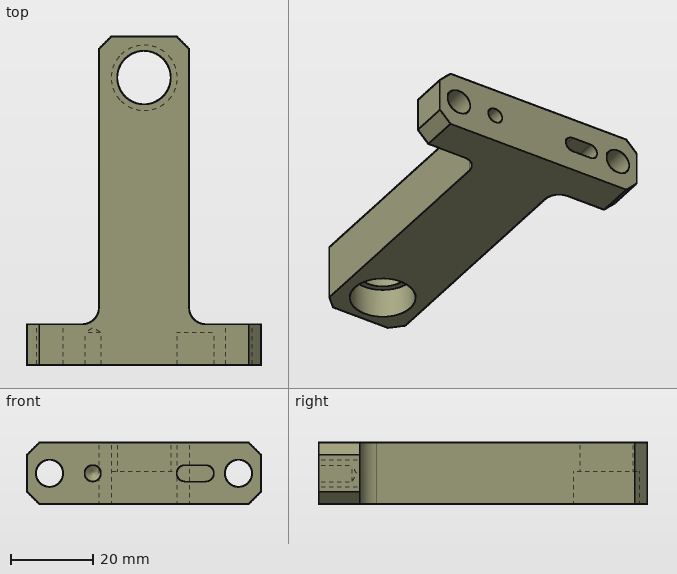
import cadquery as cq
import math

length = 80.0
flange_width = 57.0
flange_thickness = 10.0
height = 15.0
stem_width = 22.0
corner_chamfer = 3.0
root_fillet = 4.0

stem_hole_diameter = 13.0
stem_hole_inset = 10.0
counterbore_diameter = 16.0
counterbore_depth = 8.0

bolt_hole_diameter = 6.6
bolt_hole_spacing = 46.0
dowel_diameter = 4.0
dowel_offset = 12.5
dowel_depth = 8.0
drill_point_angle = 118.0
slot_length = 9.0
slot_depth = 8.0


def flange():
    """Cross plate with its four long corners chamfered."""
    plate = cq.Workplane("XY").box(flange_width, flange_thickness, height, centered=(True, False, True))
    return plate.edges("|Y").chamfer(corner_chamfer)


def stem():
    """Arm reaching from the flange face to the chamfered free end."""
    arm = cq.Workplane("XY").box(stem_width, length, height, centered=(True, False, True))
    return arm.edges("|Z and >Y").chamfer(corner_chamfer)


def round_stem_roots(body):
    """Fillet the two inside corners where the stem meets the flange."""
    reach = 0.8
    corners = cq.selectors.BoxSelector(
        (-stem_width / 2 - reach, flange_thickness - reach, -height),
        (stem_width / 2 + reach, flange_thickness + reach, height),
    )
    return body.edges("|Z").edges(corners).fillet(root_fillet)


def stem_hole():
    """Through hole, counterbored from the underside of the stem."""
    underside = cq.Workplane("XY", origin=(0, length - stem_hole_inset, -height / 2))
    through_hole = underside.circle(stem_hole_diameter / 2).extrude(height)
    counterbore = underside.circle(counterbore_diameter / 2).extrude(counterbore_depth)
    return through_hole.union(counterbore)


def bolt_holes():
    half_spacing = bolt_hole_spacing / 2
    return (
        cq.Workplane("XZ")
        .pushPoints([(-half_spacing, 0), (half_spacing, 0)])
        .circle(bolt_hole_diameter / 2)
        .extrude(-flange_thickness)
    )


def dowel_hole():
    """Blind hole with a conical drill point, revolved about its own axis."""
    radius = dowel_diameter / 2
    point_depth = radius / math.tan(math.radians(drill_point_angle / 2))
    return (
        cq.Workplane("XY")
        .polyline([(0, 0), (radius, 0), (radius, dowel_depth), (0, dowel_depth + point_depth)])
        .close()
        .revolve(360, (0, 0), (0, 1))
        .translate((-dowel_offset, 0, 0))
    )


def dowel_slot():
    """Blind flat-bottomed slot, elongated along X."""
    return (
        cq.Workplane("XZ")
        .center(dowel_offset, 0)
        .slot2D(slot_length, dowel_diameter)
        .extrude(-slot_depth)
    )


result = round_stem_roots(flange().union(stem()))
for cutter in (stem_hole(), bolt_holes(), dowel_hole(), dowel_slot()):
    result = result.cut(cutter)